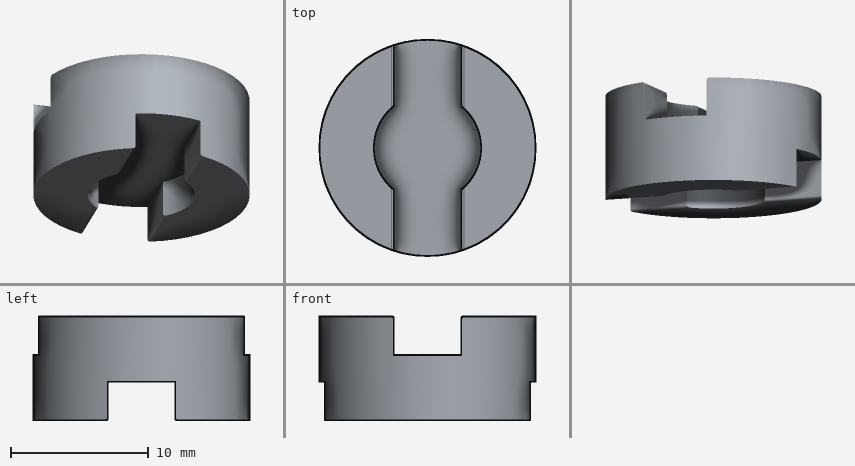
import cadquery as cq

disc_diameter = 15.7
disc_height = 7.55
slot_width = 4.87
slot_depth = 2.8
recess_diameter = 7.79
edge_radius = 0.19

mouth_half_width = slot_width / 2 + edge_radius


def slot_cutter(floor_height):
    """Slot along Y, open upward, with rounded mouth edges and a round central recess."""
    top = floor_height + slot_depth
    half_width = slot_width / 2
    arc_start = top - edge_radius
    profile = (
        cq.Workplane("XZ")
        .moveTo(-half_width, floor_height)
        .lineTo(half_width, floor_height)
        .lineTo(half_width, arc_start)
        .radiusArc((mouth_half_width, top), edge_radius)
        .lineTo(-mouth_half_width, top)
        .radiusArc((-half_width, arc_start), edge_radius)
        .close()
    )
    channel = profile.extrude(disc_diameter / 2, both=True)
    recess = (
        cq.Workplane("XY", origin=(0, 0, floor_height))
        .circle(recess_diameter / 2)
        .extrude(slot_depth)
    )
    return channel.union(recess)


disc = cq.Workplane("XY").circle(disc_diameter / 2).extrude(disc_height / 2, both=True)

upper_slot = slot_cutter(disc_height / 2 - slot_depth)
lower_slot = upper_slot.rotate((0, 0, 0), (1, 0, 0), 180).rotate((0, 0, 0), (0, 0, 1), 90)

result = disc.cut(upper_slot).cut(lower_slot)